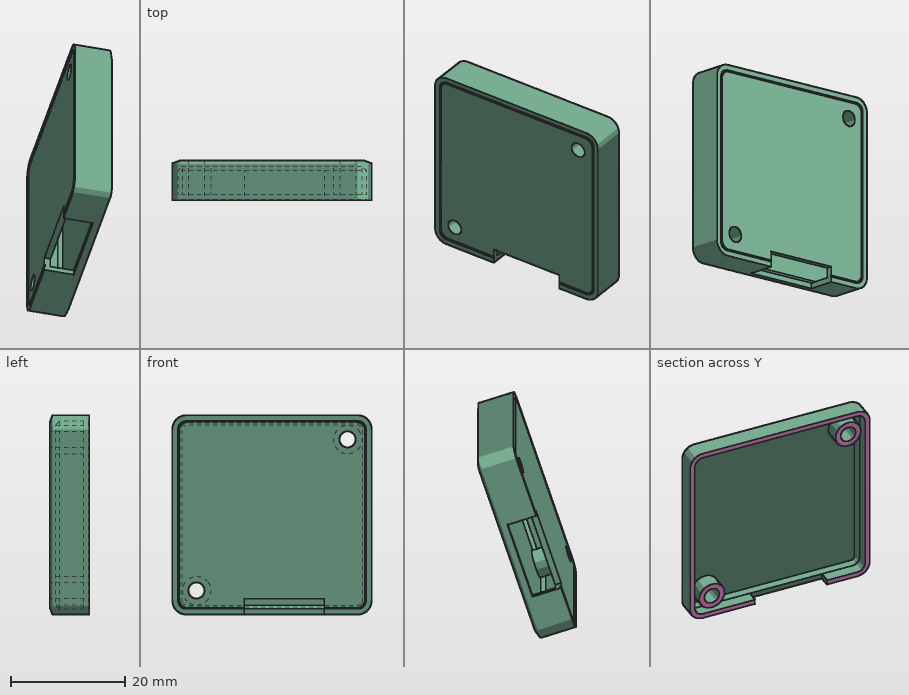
import cadquery as cq
import math

side = 35.0
depth = 7.0
corner_radius = 2.5

bevel_width = 1.35
bevel_angle = 20.0
bevel_depth = bevel_width * math.tan(math.radians(bevel_angle))
back_edge_radius = 0.2

wall = 1.0
inner_corner_radius = corner_radius - wall
front_plate = 1.1
back_plate = 1.0
cavity_chamfer = 0.7
cavity_side = side - 2 * wall
cavity_depth = depth - front_plate - back_plate

groove_width = 0.2
groove_depth = 0.2
groove_inner_side = cavity_side - 2 * groove_width

hole_diameter = 2.8
hole_offset = 13.25
post_diameter = 5.0

notch_width = 14.0
notch_center_x = 2.15
notch_height = 2.8
notch_depth = depth - back_plate - cavity_chamfer


def rounded_square(size, radius, start, length, taper=0):
    """Rounded square block in XZ, from y = start toward +Y, narrowing by the taper angle."""
    outline = cq.Sketch().rect(size, size).vertices().fillet(radius)
    plane = cq.Workplane("XZ", origin=(0, start, 0))
    return plane.placeSketch(outline).extrude(-length, taper=taper)


def cylinders(diameter, start, length):
    """Cylinders along Y on the two screw axes."""
    centers = [(-hole_offset, -hole_offset), (hole_offset, hole_offset)]
    plane = cq.Workplane("XZ", origin=(0, start, 0))
    return plane.pushPoints(centers).circle(diameter / 2).extrude(-length)


def outer_body():
    """Solid block whose back border is a shallow bevel, rounded where it meets the sides."""
    straight_depth = depth - bevel_depth
    block = rounded_square(side, corner_radius, 0, straight_depth)
    bevel = rounded_square(side, corner_radius, straight_depth, bevel_depth, 90 - bevel_angle)
    bevel_start = cq.selectors.BoxSelector(
        (-side, straight_depth - bevel_depth / 2, -side),
        (side, straight_depth + bevel_depth / 2, side),
    )
    return block.union(bevel).edges("not |Y").edges(bevel_start).fillet(back_edge_radius)


def cavity():
    """Hollow with a chamfered floor, leaving the screw posts standing."""
    space = rounded_square(cavity_side, inner_corner_radius, front_plate, cavity_depth)
    space = space.faces(">Y").edges().chamfer(cavity_chamfer)
    return space.cut(cylinders(post_diameter, front_plate, cavity_depth))


def joint_groove():
    """Thin square ring sunk into the front face."""
    outer = rounded_square(cavity_side, inner_corner_radius, 0, groove_depth)
    inner = rounded_square(groove_inner_side, inner_corner_radius, 0, groove_depth)
    return outer.cut(inner)


def notch():
    """Rectangular cut through the front plate, ending where the floor chamfer begins."""
    center_z = (notch_height - side) / 2
    plane = cq.Workplane("XZ", origin=(notch_center_x, 0, center_z))
    return plane.rect(notch_width, notch_height).extrude(-notch_depth)


result = (
    outer_body()
    .cut(cavity())
    .cut(joint_groove())
    .cut(cylinders(hole_diameter, 0, depth))
    .cut(notch())
)